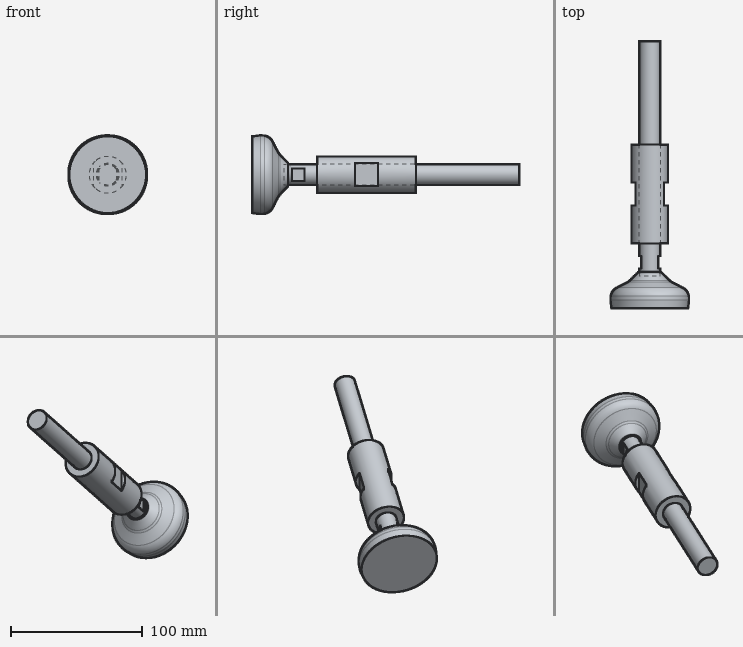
import cadquery as cq

total_length = 203.0
foot_front = -total_length / 2

rod_diameter = 16.0
rod_flat_width = 13.0
rod_flat_start = 30.2
rod_flat_length = 9.3
rod_end = 24.4
rod_taper_start = 28.6
rod_end_diameter = 15.5

sleeve_diameter = 28.0
sleeve_length = 75.1
sleeve_start = 49.3
sleeve_flat_width = 22.0
sleeve_flat_length = 17.3

face_radius = 29.2
rim_radius = 30.0
rim_height = 6.3
side_radius = 29.8
side_height = 9.3
shoulder_radius = 25.2
shoulder_height = 15.6
waist_radius = 16.8
waist_height = 19.9
neck_radius = 15.2
neck_height = 21.1
lip_radius = 9.3
lip_height = 26.8
top_radius = 8.7
foot_height = 27.5
shoulder_bulge = (28.2, 13.0)


def cylinder(diameter, start, length):
    """Cylinder along +Y, starting at a distance from the foot face."""
    base = cq.Plane(origin=(0, foot_front + start, 0), xDir=(1, 0, 0), normal=(0, 1, 0))
    return cq.Workplane(base).circle(diameter / 2).extrude(length)


def cut_flats(body, diameter, flat_width, start, length):
    """Cut two opposite wrench flats facing -X and +X."""
    depth = (diameter - flat_width) / 2
    for side in (-1, 1):
        center = (side * (flat_width + depth) / 2, foot_front + start + length / 2, 0)
        body = body.cut(cq.Workplane().box(depth, length, diameter).translate(center))
    return body


def make_rod():
    rod = (
        cq.Workplane("XY")
        .moveTo(0, rod_end)
        .lineTo(rod_end_diameter / 2, rod_end)
        .lineTo(rod_diameter / 2, rod_taper_start)
        .lineTo(rod_diameter / 2, total_length)
        .lineTo(0, total_length)
        .close()
        .revolve(360, (0, 0, 0), (0, 1, 0))
        .translate((0, foot_front, 0))
    )
    return cut_flats(rod, rod_diameter, rod_flat_width, rod_flat_start, rod_flat_length)


def make_sleeve():
    sleeve = cylinder(sleeve_diameter, sleeve_start, sleeve_length)
    flat_start = sleeve_start + (sleeve_length - sleeve_flat_length) / 2
    sleeve = cut_flats(sleeve, sleeve_diameter, sleeve_flat_width, flat_start, sleeve_flat_length)
    return sleeve.cut(cylinder(rod_diameter, sleeve_start, sleeve_length))


def make_foot(rod):
    """Foot pad with a seat that matches the tapered rod end."""
    foot = (
        cq.Workplane("XY")
        .lineTo(face_radius, 0)
        .lineTo(rim_radius, rim_height)
        .lineTo(side_radius, side_height)
        .threePointArc(shoulder_bulge, (shoulder_radius, shoulder_height))
        .lineTo(waist_radius, waist_height)
        .lineTo(neck_radius, neck_height)
        .lineTo(lip_radius, lip_height)
        .lineTo(top_radius, foot_height)
        .lineTo(0, foot_height)
        .close()
        .revolve(360, (0, 0, 0), (0, 1, 0))
        .translate((0, foot_front, 0))
    )
    return foot.cut(rod)


rod = make_rod()
sleeve = make_sleeve()
foot = make_foot(rod)

result = cq.Compound.makeCompound([rod.val(), sleeve.val(), foot.val()])